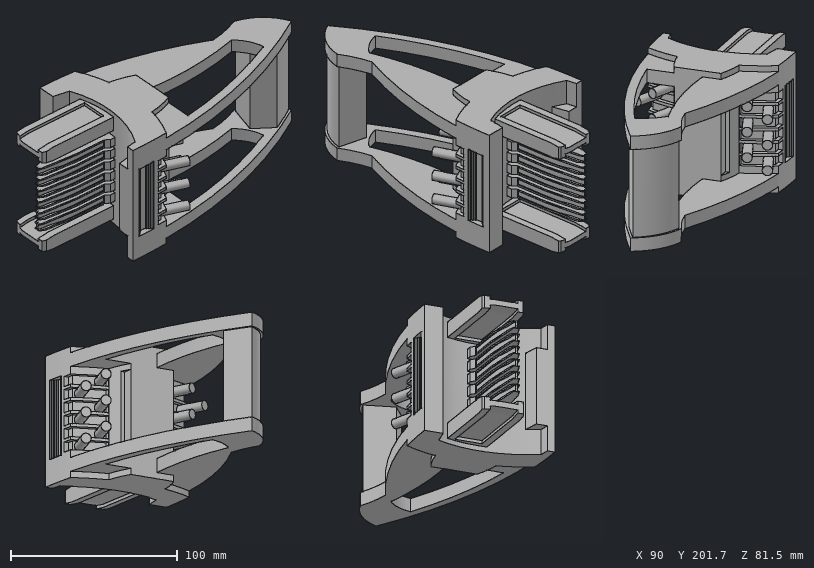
import cadquery as cq
import math

body_half_width = 43.0
body_height = 81.5
side_radius = 312.7
side_widest_y = 3.5
cavity_radius = 73.0
cavity_crown_y = 17.0
arch_thickness = 20.2
arch_centre_y = cavity_crown_y - cavity_radius
shoulder_radius = cavity_radius + arch_thickness
block_base_half = 20.0
block_top_half = 15.1
block_mid_half = 18.0
block_mid_y = 44.4
block_top_y = 52.3
leg_foot_x = 30.7
leg_root_x = 28.5
relief_foot_x = 38.0
relief_root_x = 37.0
middle_half_height = 24.6
block_step_y = 45.0

pocket_riser_depth = 1.0
pocket_upper_risers = (17.0, 15.7, 14.5, 13.3)
pocket_lower_risers = (4.8, 6.3, 7.3, 8.5)

arm_inner_z = 28.2
arm_thickness = 8.7
arm_root_y = 18.2
tip_y = 163.0
grip_nose_bulge = (-17.1, 149.7)
grip_corner = (-23.2, 136.4)
throat_bulge = (-19.0, 125.3)
neck = (-16.7, 114.5)
front_edge_bulge = (-29.0, 84.7)
window_base_y = block_top_y
window_left_x = -3.2
window_right_x = 32.7
window_tip_left = (-9.3, 122.9)
window_tip_right = (8.3, 133.0)
window_left_bulge = (-4, 94.5)
window_tip_bulge = (-1.6, 129.3)
window_right_bulge = (23.6, 93.0)
bar_inset = 1.6
bar_heel_y = 144.2
bar_front = (-2, 131.1)
bar_nose_bulge = (-16.0, 148.7)

row_count = 6
row_pitch = body_height / 10
contact_height = 6
contact_core_height = 3.8
contact_tip_height = 4.6
contact_base_half = 7.0
contact_root_overlap = 2
contact_base_y = 13.1
contact_base_nose_y = 10
contact_tip_y = -38.7
contact_bevel_y = -35.0
contact_bend_y = -12.0
contact_half = 4.8
contact_bevel_half = 2.8
contact_tip_half = 1.8
contact_core_half = 4
core_bends = ((contact_core_half, contact_bend_y), (3.6, -21.0), (1.6, -29.7), (1.2, contact_bevel_y),
              (0.6, contact_tip_y))
pin_diameter = 6.3
pin_tilt = 20
pin_length = 19.0
pin_root_overlap = 1.0
pin_reach_x = 45.0
pin_end_y = 44.5
pin_row_shift = 11.5
notch_wall_x = 39.5
notch_floor_outer_y = 25.2
notch_inner_x = 20.2
notch_bottom_y = 20.5
notch_top_y = 40.1

prong_left_x = -21.5
prong_right_x = 5.6
prong_inner_z = 27.6
prong_height = 9.9
prong_tip_height = 7.7
prong_tip_y = contact_tip_y
prong_taper_y = -30.7
prong_root_y = 24.2
prong_tip_bevel = ((-20.4, -37.1), (-13.7, prong_tip_y))
prong_tip_chamfer = 1.2
prong_edge_end_y = prong_tip_y + 2 * prong_tip_chamfer
groove_left_x = -17.0
groove_right_x = 0.8
groove_end_y = 13.1
groove_depth = 2

corner_passes = 20
row_heights = [(row - (row_count - 1) / 2) * row_pitch for row in range(row_count)]


def side_x(y, inset=0.0):
    """X of the bowed +X side at height y, optionally moved inward."""
    radius = side_radius - inset
    return body_half_width - side_radius + math.sqrt(radius ** 2 - (y - side_widest_y) ** 2)


def arch_y(radius, x):
    """Y of an arc concentric with the cavity crown."""
    return arch_centre_y + math.sqrt(radius ** 2 - x ** 2)


def slab(sketch, z_low, height):
    """Extrude a closed XY outline upward from z_low."""
    return sketch.extrude(height).translate((0, 0, z_low))


def both_sides(shape):
    """Join a shape with its mirror image across the YZ plane."""
    return shape.union(shape.mirror("YZ"))


def both_ends(shape):
    """Join a shape with its mirror image across the XY plane."""
    return shape.union(shape.mirror("XY"))


def side_shoulder_corner():
    """Point where the bowed side meets the shoulder arc, found by repeated substitution."""
    y = cavity_crown_y
    for _ in range(corner_passes):
        y = arch_y(shoulder_radius, side_x(y))
    return side_x(y), y


shoulder_x, shoulder_y = side_shoulder_corner()


def cavity_tool(left, right, z_low, height):
    """Arched space between two legs, each given as (foot x, root x)."""
    outline = (
        cq.Workplane("XY")
        .moveTo(left[0], 0)
        .lineTo(left[1], arch_y(cavity_radius, left[1]))
        .threePointArc((0, cavity_crown_y), (right[1], arch_y(cavity_radius, right[1])))
        .lineTo(right[0], 0)
        .close()
    )
    return slab(outline, z_low, height)


def make_body():
    half_shoulder = (block_base_half + shoulder_x) / 2
    shoulder_mid_y = arch_y(shoulder_radius, half_shoulder)
    block_base_y = arch_y(shoulder_radius, block_base_half)
    side_mid_y = shoulder_y / 2
    outline = (
        cq.Workplane("XY")
        .moveTo(side_x(0), 0)
        .threePointArc((side_x(side_mid_y), side_mid_y), (shoulder_x, shoulder_y))
        .threePointArc((half_shoulder, shoulder_mid_y), (block_base_half, block_base_y))
        .threePointArc((block_mid_half, block_mid_y), (block_top_half, block_top_y))
        .lineTo(-block_top_half, block_top_y)
        .threePointArc((-block_mid_half, block_mid_y), (-block_base_half, block_base_y))
        .threePointArc((-half_shoulder, shoulder_mid_y), (-shoulder_x, shoulder_y))
        .threePointArc((-side_x(side_mid_y), side_mid_y), (-side_x(0), 0))
        .close()
    )
    body = slab(outline, -body_height / 2, body_height)

    leg = (leg_foot_x, leg_root_x)
    left_leg = (-leg_foot_x, -leg_root_x)
    thin_leg = (relief_foot_x, relief_root_x)
    end_height = body_height / 2 - middle_half_height
    body = body.cut(cavity_tool(left_leg, leg, -body_height / 2, body_height))
    body = body.cut(both_ends(cavity_tool(left_leg, thin_leg, middle_half_height, end_height)))

    trim_width = block_base_half - block_top_half
    trim_length = block_top_y - block_step_y
    trim = (
        cq.Workplane("XY")
        .box(trim_width, trim_length, 2 * middle_half_height, centered=(False, False, True))
        .translate((block_top_half, block_step_y, 0))
    )
    return body.cut(both_sides(trim))


def stair(risers):
    """Points that step inward from the leg face, one riser at each Y."""
    points = []
    for step, y in enumerate(risers):
        points.append((body_half_width - step * pocket_riser_depth, y))
        points.append((body_half_width - (step + 1) * pocket_riser_depth, y))
    return points


def side_pockets():
    """Pocket with a stepped slope at either end in the outer face of each leg."""
    outline = cq.Workplane("XY").polyline(
        stair(pocket_lower_risers) + stair(pocket_upper_risers)[::-1]
    ).close()
    return both_sides(slab(outline, -middle_half_height, 2 * middle_half_height))


def make_arm():
    root_x = side_x(arm_root_y)
    back_mid_y = (arm_root_y + tip_y) / 2
    outline = (
        cq.Workplane("XY")
        .moveTo(root_x, arm_root_y)
        .threePointArc((side_x(back_mid_y), back_mid_y), (side_x(tip_y), tip_y))
        .threePointArc(grip_nose_bulge, grip_corner)
        .threePointArc(throat_bulge, neck)
        .threePointArc(front_edge_bulge, (-shoulder_x, shoulder_y))
        .lineTo(-shoulder_x, arm_root_y)
        .close()
    )
    window = (
        cq.Workplane("XY")
        .moveTo(window_left_x, window_base_y)
        .threePointArc(window_left_bulge, window_tip_left)
        .threePointArc(window_tip_bulge, window_tip_right)
        .threePointArc(window_right_bulge, (window_right_x, window_base_y))
        .close()
    )
    arm = slab(outline, arm_inner_z, arm_thickness)
    return arm.cut(slab(window, arm_inner_z, arm_thickness))


def make_grip_bar():
    """Bar that joins the arm tips, set in slightly from their outline."""
    top_y = tip_y - bar_inset
    back_mid_y = (bar_heel_y + top_y) / 2
    bar_corner = (grip_corner[0] + bar_inset, grip_corner[1])
    bar_tip = (side_x(top_y, bar_inset), top_y)
    outline = (
        cq.Workplane("XY")
        .moveTo(*bar_corner)
        .lineTo(*bar_front)
        .lineTo(side_x(bar_heel_y, bar_inset), bar_heel_y)
        .threePointArc((side_x(back_mid_y, bar_inset), back_mid_y), bar_tip)
        .threePointArc(bar_nose_bulge, bar_corner)
        .close()
    )
    return slab(outline, -arm_inner_z, 2 * arm_inner_z)


def mirrored_outline(right_side):
    """Closed outline from the points of its +X side."""
    left_side = [(-x, y) for x, y in reversed(right_side)]
    return cq.Workplane("XY").polyline(right_side + left_side).close()


def make_contact():
    """Blade pinched toward its tip, with a more deeply pinched core along its flanks."""
    root_y = cavity_crown_y + contact_root_overlap
    base = mirrored_outline([
        (contact_base_half, root_y),
        (contact_base_half, contact_base_y),
        (contact_half, contact_base_nose_y),
    ])
    base = slab(base, -contact_height / 2, contact_height)

    rim = mirrored_outline([
        (contact_half, root_y),
        (contact_half, contact_bend_y),
        (contact_bevel_half, contact_bevel_y),
        (contact_tip_half, contact_tip_y),
    ])
    rim = slab(rim, -contact_height / 2, contact_height)
    core = mirrored_outline([(contact_core_half, root_y)] + list(core_bends))
    rim_window = mirrored_outline([(contact_half, contact_base_nose_y), (contact_half, contact_tip_y)])
    rim_window = slab(rim_window, -contact_core_height / 2, contact_core_height)
    core = slab(core, -contact_core_height / 2, contact_core_height)
    blade = rim.cut(rim_window).union(core)

    bevel = cq.Workplane("YZ").polyline([
        (contact_bevel_y, contact_height / 2),
        (contact_tip_y, contact_height / 2),
        (contact_tip_y, contact_tip_height / 2),
    ]).close().extrude(contact_half, both=True)
    return base.union(blade.cut(both_ends(bevel)))


def make_notch():
    """Wire notch through the shoulder and the outer side of the body."""
    floor_rise = (notch_wall_x - notch_inner_x) * math.tan(math.radians(pin_tilt))
    inner_floor_y = notch_floor_outer_y + floor_rise
    outline = cq.Workplane("XY").polyline([
        (notch_inner_x, inner_floor_y),
        (notch_wall_x, notch_floor_outer_y),
        (notch_wall_x, notch_bottom_y),
        (body_half_width, notch_bottom_y),
        (body_half_width, notch_top_y),
        (notch_inner_x, notch_top_y),
    ]).close()
    return both_sides(slab(outline, -pin_diameter / 2, pin_diameter))


def make_pin(shift):
    """Pair of wire pins leaning outward, moved in along the shoulder by shift."""
    tilt = math.radians(pin_tilt)
    end_x = pin_reach_x - pin_diameter / 2 * math.cos(tilt) - shift
    end_y = pin_end_y + shift * math.tan(tilt)
    pin = cq.Solid.makeCylinder(
        pin_diameter / 2,
        pin_length + pin_root_overlap,
        cq.Vector(end_x, end_y, 0),
        cq.Vector(-math.sin(tilt), -math.cos(tilt), 0),
    )
    return both_sides(cq.Workplane(obj=pin))


def make_prong():
    outline = cq.Workplane("XY").polyline([
        (prong_left_x, prong_root_y),
        (prong_left_x, prong_edge_end_y),
        *prong_tip_bevel,
        (prong_right_x - prong_tip_chamfer, prong_tip_y),
        (prong_right_x, prong_edge_end_y),
        (prong_right_x, prong_root_y),
    ]).close()
    prong = slab(outline, -prong_height / 2, prong_height)

    def tapered_side(inset):
        """YZ section running to a thinner tip, set in from the prong faces."""
        half = prong_height / 2 - inset
        tip_half = prong_tip_height / 2 - inset
        return cq.Workplane("YZ").polyline([
            (prong_root_y, half),
            (prong_taper_y, half),
            (prong_tip_y, tip_half),
            (prong_tip_y, -tip_half),
            (prong_taper_y, -half),
            (prong_root_y, -half),
        ]).close()

    span = prong_right_x - prong_left_x
    prong = prong.intersect(tapered_side(0).extrude(span).translate((prong_left_x, 0, 0)))

    groove_width = groove_right_x - groove_left_x
    groove = (
        cq.Workplane("XY")
        .box(groove_width, groove_end_y - prong_tip_y, prong_height, centered=(False, False, True))
        .translate((groove_left_x, prong_tip_y, 0))
    )
    web = tapered_side(groove_depth).extrude(groove_width).translate((groove_left_x, 0, 0))
    prong = prong.cut(groove.cut(web))
    return prong.translate((0, 0, prong_inner_z + prong_height / 2))


result = make_body().cut(side_pockets())
result = result.union(both_ends(make_arm())).union(make_grip_bar())
result = result.union(both_ends(make_prong()))

for row, z in enumerate(row_heights):
    row_shift = pin_row_shift * (row % 2)
    result = result.cut(make_notch().translate((0, 0, z)))
    result = result.union(make_pin(row_shift).translate((0, 0, z)))
    result = result.union(make_contact().translate((0, 0, z)))